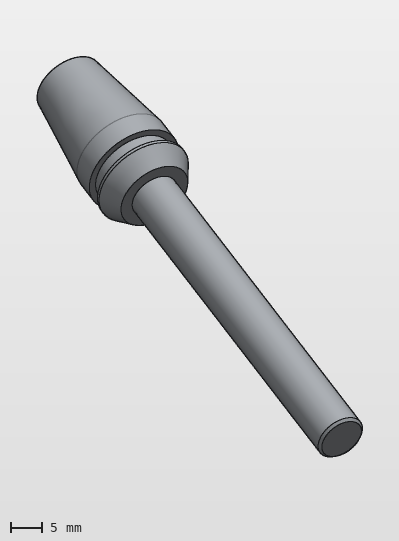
import cadquery as cq

total_length = 87.5
head_diameter = 16.0
tip_diameter = 11.4
groove_diameter = 13.7
shank_diameter = 8.0
collar_back_diameter = 12.0

taper_length = 17.0
land_length = 3.9
groove_width = 2.6
collar_rim_width = 0.5
collar_taper_length = 3.4
shank_chamfer = 0.4

tip_x = -total_length / 2
taper_end_x = tip_x + taper_length
groove_start_x = taper_end_x + land_length
groove_end_x = groove_start_x + groove_width
rim_end_x = groove_end_x + collar_rim_width
collar_end_x = rim_end_x + collar_taper_length
shank_end_x = total_length / 2

head_radius = head_diameter / 2
groove_radius = groove_diameter / 2
shank_radius = shank_diameter / 2

half_section = (
    cq.Workplane("XY")
    .moveTo(tip_x, 0)
    .lineTo(tip_x, tip_diameter / 2)
    .lineTo(taper_end_x, head_radius)
    .lineTo(groove_start_x, head_radius)
    .lineTo(groove_start_x, groove_radius)
    .lineTo(groove_end_x, groove_radius)
    .lineTo(groove_end_x, head_radius)
    .lineTo(rim_end_x, head_radius)
    .lineTo(collar_end_x, collar_back_diameter / 2)
    .lineTo(collar_end_x, shank_radius)
    .lineTo(shank_end_x, shank_radius)
    .lineTo(shank_end_x, 0)
    .close()
)
body = half_section.revolve(360, (0, 0, 0), (1, 0, 0))

result = body.faces(">X").edges().chamfer(shank_chamfer)